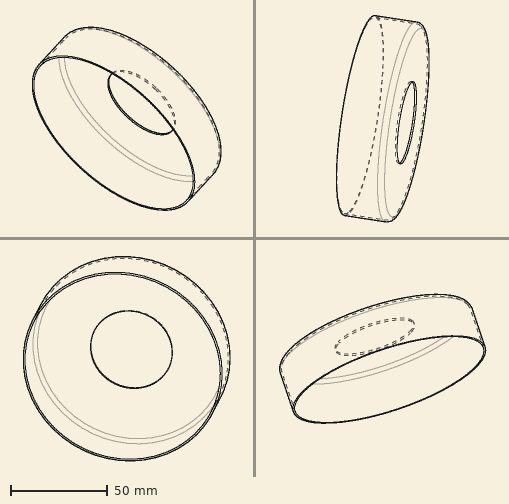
import cadquery as cq

outer_diameter = 105.0
depth = 25.0
wall = 1.0
hole_diameter = 43.0
outer_corner_radius = 3.0
inner_corner_radius = outer_corner_radius - wall


def cylinder_along_y(diameter, length):
    """Cylinder on the Y axis running from Y = 0 to Y = length."""
    return cq.Workplane("XZ").circle(diameter / 2).extrude(-length)


body = cylinder_along_y(outer_diameter, depth).faces(">Y").edges().fillet(outer_corner_radius)
cavity = cylinder_along_y(outer_diameter - 2 * wall, depth - wall)
cavity = cavity.faces(">Y").edges().fillet(inner_corner_radius)

center_hole = cylinder_along_y(hole_diameter, depth)

result = body.cut(cavity).cut(center_hole)